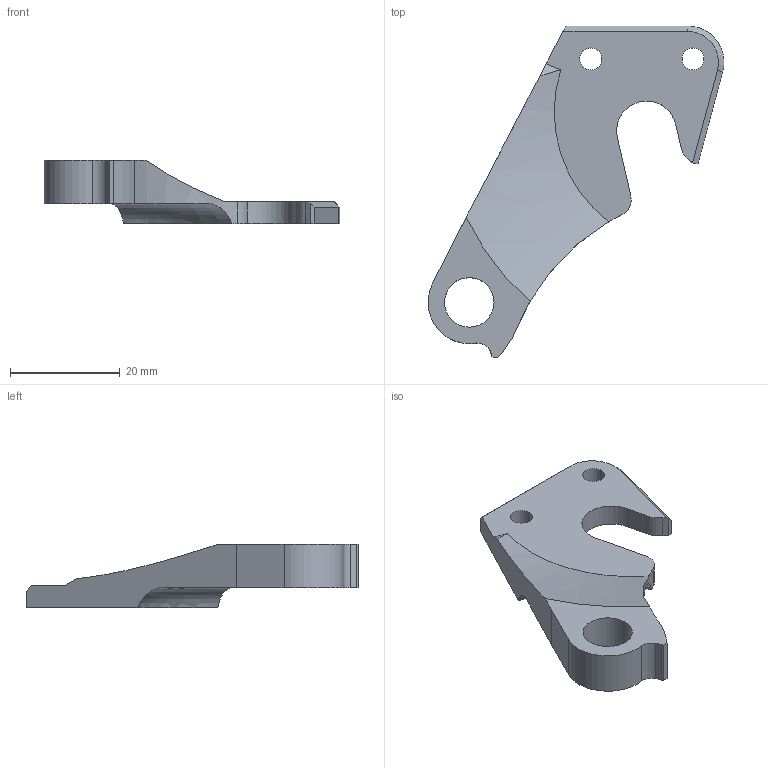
import cadquery as cq
import math

PLATE_THICKNESS = 4.0
LUG_BOTTOM = 3.65
LUG_TOP = 11.5

LUG_RADIUS = 7.5
LUG_BORE = 9.0

LOWER_FLANK_ANGLE = 26.6
UPPER_FLANK_ANGLE = 27.5
FLANK_BEND_Y = 12.0

PLATE_TOP_Y = 50.3
PLATE_CORNER_RADIUS = 6.6
PLATE_CHAMFER = 1.0
RIGHT_FLANK_ANGLE = 15.0
RIGHT_FLANK_TOP_X = 48.34
SCREW_HOLE = 4.0
SCREW_HOLE_Y = 44.3
SCREW_HOLE_X = (22.1, 40.7)

SLOT_CENTER = (32.25, 31.2)
SLOT_RADIUS = 5.45
SLOT_ANGLE = 13.0
HOOK_BOTTOM_Y = 25.2
HOOK_CURVE_START_Y = 28.4
HOOK_FLAT = 0.7
HOOK_CURVE_MIDDLE = (39.0, 27.0)
HOOK_CURVE_END = (40.1, 25.9)
LIP_CURVE_START_Y = 19.4

WALL_CENTER = (45.5, -19.55)
WALL_RADIUS = 39.7
WALL_START_X = 27.7
WALL_END_X = 8.9

STOP_BOTTOM_Y = -10.1
STOP_LEFT_X = 4.35
STOP_SHOULDER = (4.12, -9.75)
STOP_RIGHT_X = 5.15
STOP_CURVE_MIDDLE = (7.4, -7.15)
NOTCH_START_X = 1.35
NOTCH_MIDDLE = (2.75, -7.75)
NOTCH_END = (3.75, -8.65)

RAMP_CENTER = (40.6, 34.7)
RAMP_INNER_RADIUS = 25.15
RAMP_OUTER_RADIUS = 45.4

FACET_TIP = (16.75, 42.3)
FACET_TURN = 21.0
FACET_SLOPE = 27.0

RELIEF_CENTER = (0.0, 0.0)
RELIEF_RADIUS = 30.8
RELIEF_RIM_RADIUS = 5.6

CUT_LENGTH = 40.0


def on_circle(center, radius, degrees):
    angle = math.radians(degrees)
    return center[0] + radius * math.cos(angle), center[1] + radius * math.sin(angle)


def along(start, degrees, y):
    """Point at height y on the line from start that leans from +Y toward +X by an angle."""
    return start[0] + (y - start[1]) * math.tan(math.radians(degrees)), y


def on_wall(x):
    """Point of the concave wall at a given x."""
    return x, WALL_CENTER[1] + math.sqrt(WALL_RADIUS**2 - (x - WALL_CENTER[0]) ** 2)


def make_body():
    """Full outline of the part, extruded to the height of the lug."""
    lug_tangent = on_circle((0, 0), LUG_RADIUS, 180 - LOWER_FLANK_ANGLE)
    lug_side = on_circle((0, 0), LUG_RADIUS, 225)
    flank_bend = along(lug_tangent, LOWER_FLANK_ANGLE, FLANK_BEND_Y)
    top_left = along(flank_bend, UPPER_FLANK_ANGLE, PLATE_TOP_Y)
    top_right = (RIGHT_FLANK_TOP_X, PLATE_TOP_Y)
    hook_tip = along(top_right, RIGHT_FLANK_ANGLE, HOOK_BOTTOM_Y)
    hook_flat_end = (hook_tip[0] - HOOK_FLAT, HOOK_BOTTOM_Y)
    slot_right = on_circle(SLOT_CENTER, SLOT_RADIUS, SLOT_ANGLE)
    slot_end = on_circle(SLOT_CENTER, SLOT_RADIUS, SLOT_ANGLE + 90)
    slot_left = on_circle(SLOT_CENTER, SLOT_RADIUS, SLOT_ANGLE + 180)
    hook_curve_start = along(slot_right, -SLOT_ANGLE, HOOK_CURVE_START_Y)
    lip_curve_start = along(slot_left, -SLOT_ANGLE, LIP_CURVE_START_Y)
    wall_middle = on_wall((WALL_START_X + WALL_END_X) / 2)
    notch_start = (NOTCH_START_X, -math.sqrt(LUG_RADIUS**2 - NOTCH_START_X**2))
    body = (
        cq.Workplane("XY")
        .moveTo(*lug_tangent)
        .lineTo(*flank_bend)
        .lineTo(*top_left)
        .lineTo(*top_right)
        .lineTo(*hook_tip)
        .lineTo(*hook_flat_end)
        .lineTo(*HOOK_CURVE_END)
        .threePointArc(HOOK_CURVE_MIDDLE, hook_curve_start)
        .lineTo(*slot_right)
        .threePointArc(slot_end, slot_left)
        .lineTo(*lip_curve_start)
        .tangentArcPoint(on_wall(WALL_START_X), relative=False)
        .threePointArc(wall_middle, on_wall(WALL_END_X))
        .threePointArc(STOP_CURVE_MIDDLE, (STOP_RIGHT_X, STOP_BOTTOM_Y))
        .lineTo(STOP_LEFT_X, STOP_BOTTOM_Y)
        .lineTo(*STOP_SHOULDER)
        .lineTo(*NOTCH_END)
        .threePointArc(NOTCH_MIDDLE, notch_start)
        .threePointArc(lug_side, lug_tangent)
        .close()
        .extrude(LUG_TOP)
    )
    corner = cq.selectors.NearestToPointSelector((*top_right, LUG_TOP / 2))
    return body.edges("|Z").edges(corner).fillet(PLATE_CORNER_RADIUS)


def make_ramp_cutter():
    """Space above the plate and the conical ramp."""
    return (
        cq.Workplane("XZ")
        .moveTo(0, PLATE_THICKNESS)
        .lineTo(RAMP_INNER_RADIUS, PLATE_THICKNESS)
        .lineTo(RAMP_OUTER_RADIUS, LUG_TOP)
        .lineTo(0, LUG_TOP)
        .close()
        .revolve(360, (0, 0), (0, 1))
        .translate(RAMP_CENTER)
    )


def make_facet_cutter():
    """Space above the sloped facet and above the plate beyond it."""
    height = LUG_TOP - PLATE_THICKNESS
    slope_run = height / math.tan(math.radians(FACET_SLOPE))
    return (
        cq.Workplane("YZ")
        .moveTo(CUT_LENGTH, 0)
        .lineTo(0, 0)
        .lineTo(-slope_run, height)
        .lineTo(CUT_LENGTH, height)
        .close()
        .extrude(CUT_LENGTH, both=True)
        .rotate((0, 0, 0), (0, 0, 1), -FACET_TURN)
        .translate((*FACET_TIP, PLATE_THICKNESS))
    )


def make_relief_cutter():
    """Round pocket under the lug whose rim curves into the flat underside of the lug."""
    rim_center_z = LUG_BOTTOM - RELIEF_RIM_RADIUS
    rim_width = math.sqrt(RELIEF_RIM_RADIUS**2 - rim_center_z**2)
    flat_radius = RELIEF_RADIUS - rim_width
    rim_start_angle = math.degrees(math.asin(-rim_center_z / RELIEF_RIM_RADIUS))
    rim_middle_angle = (rim_start_angle + 90) / 2
    rim_middle = on_circle((flat_radius, rim_center_z), RELIEF_RIM_RADIUS, rim_middle_angle)
    return (
        cq.Workplane("XZ")
        .lineTo(RELIEF_RADIUS, 0)
        .threePointArc(rim_middle, (flat_radius, LUG_BOTTOM))
        .lineTo(0, LUG_BOTTOM)
        .close()
        .revolve(360, (0, 0), (0, 1))
        .translate(RELIEF_CENTER)
    )


def chamfer_plate(body):
    """Chamfer the upper edge along the back, the round corner and the right flank of the plate."""
    back_edge = (SLOT_CENTER[0], PLATE_TOP_Y, PLATE_THICKNESS)
    return body.edges(cq.selectors.NearestToPointSelector(back_edge)).chamfer(PLATE_CHAMFER)


def drill(body):
    screw_points = [(x, SCREW_HOLE_Y) for x in SCREW_HOLE_X]
    holes = cq.Workplane("XY").pushPoints(screw_points).circle(SCREW_HOLE / 2).extrude(LUG_TOP)
    bore = cq.Workplane("XY").circle(LUG_BORE / 2).extrude(LUG_TOP)
    return body.cut(holes).cut(bore)


shaped = make_body().cut(make_ramp_cutter()).cut(make_facet_cutter()).cut(make_relief_cutter())
result = drill(chamfer_plate(shaped))